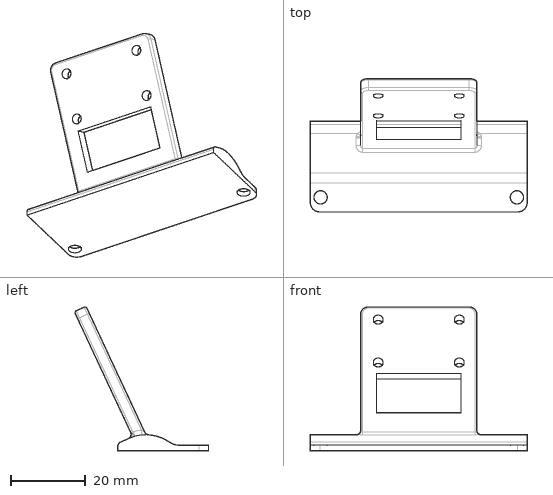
import cadquery as cq
import math

base_length = 58
base_depth = 24.3
flange_thickness = 1.5
flange_corner_radius = 2.6
hump_height = 4.3
hump_radius = 11
crest_y = 16.7
rear_slope = 23
rear_edge_radius = 1.45
valley_radius = 4.65

mount_hole_diameter = 3.5
mount_hole_spacing = 52.45
mount_hole_y = 3.95

plate_lean = 25
plate_width = 31.1
plate_thickness = 3.5
plate_height = 37.9
plate_root_depth = 2.9
plate_corner_radius = 2.1
plate_edge_radius = 0.6
plate_foot_radius = 1.3

plate_hole_diameter = 2.6
plate_hole_spacing = 21.7
plate_hole_heights = (21.3, 33.95)
window_width = 22.5
window_bottom = 6.5
window_top = 18


def make_base():
    """Extrude the (Y, Z) side profile along X and finish the flange."""
    center_z = hump_height - hump_radius

    def on_hump(angle):
        """Point on the hump arc, angle in radians measured rearward from the crest."""
        return crest_y + hump_radius * math.sin(angle), center_z + hump_radius * math.cos(angle)

    valley_center_z = flange_thickness + valley_radius
    valley_angle = math.acos((valley_center_z - center_z) / (hump_radius + valley_radius))
    valley_center_y = crest_y - (hump_radius + valley_radius) * math.sin(valley_angle)
    valley_mid = (
        valley_center_y + valley_radius * math.sin(valley_angle / 2),
        valley_center_z - valley_radius * math.cos(valley_angle / 2),
    )

    slope = math.radians(rear_slope)
    slope_start = on_hump(slope)
    rear_z = slope_start[1] - (base_depth - slope_start[0]) * math.tan(slope)

    base = (
        cq.Workplane("YZ")
        .moveTo(0, 0)
        .lineTo(0, flange_thickness)
        .lineTo(valley_center_y, flange_thickness)
        .threePointArc(valley_mid, on_hump(-valley_angle))
        .threePointArc((crest_y, hump_height), slope_start)
        .lineTo(base_depth, rear_z)
        .lineTo(base_depth, 0)
        .close()
        .extrude(base_length / 2, both=True)
    )
    base = base.faces(">Y").edges(">Z").fillet(rear_edge_radius)
    base = base.faces("<Y").edges("|Z").fillet(flange_corner_radius)
    mount_holes = (
        cq.Workplane("XY")
        .pushPoints([(side * mount_hole_spacing / 2, mount_hole_y) for side in (-1, 1)])
        .circle(mount_hole_diameter / 2)
        .extrude(flange_thickness)
    )
    return base.cut(mount_holes)


def plate_plane():
    """Workplane on the plate's front face: x across, y up the plate, z out of its front."""
    lean = math.radians(plate_lean)
    return cq.Workplane(
        cq.Plane(
            origin=(0, crest_y, hump_height),
            xDir=(1, 0, 0),
            normal=(0, -math.cos(lean), math.sin(lean)),
        )
    )


def make_plate():
    """Plate with rounded top corners and softened front and rear edges."""
    full_height = plate_height + plate_root_depth
    plate = (
        plate_plane()
        .center(0, plate_height - full_height / 2)
        .rect(plate_width, full_height)
        .extrude(-plate_thickness)
    )
    plate = plate.faces(">Z").edges("not |X").fillet(plate_corner_radius)
    return plate.faces("<Y or >Y").edges().fillet(plate_edge_radius)


def make_plate_openings():
    """Cutters for the four screw holes and the rectangular window."""
    holes = (
        plate_plane()
        .pushPoints([(side * plate_hole_spacing / 2, h) for side in (-1, 1) for h in plate_hole_heights])
        .circle(plate_hole_diameter / 2)
        .extrude(-plate_thickness)
    )
    window = (
        plate_plane()
        .center(0, (window_bottom + window_top) / 2)
        .rect(window_width, window_top - window_bottom)
        .extrude(-plate_thickness)
    )
    return holes.union(window)


def is_foot_edge(edge):
    """True for the edges where the plate meets the hump."""
    box = edge.BoundingBox()
    within_width = max(abs(box.xmin), abs(box.xmax)) < plate_width / 2 + plate_edge_radius / 2
    above_flange = box.zmin > flange_thickness
    return within_width and above_flange and box.zmax < hump_height + plate_edge_radius / 2


body = make_base().union(make_plate())
foot_edges = [edge for edge in body.edges().vals() if is_foot_edge(edge)]
body = body.newObject(foot_edges).fillet(plate_foot_radius)
result = body.cut(make_plate_openings())